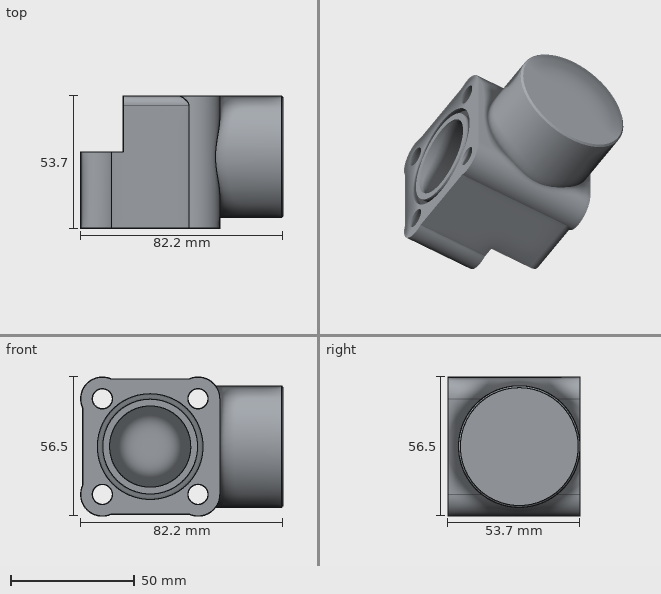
import cadquery as cq

depth = 53.7
flange_half = 28.24
outlet_end_x = 53.98

hole_offset = 19.4
lobe_radius = flange_half - hole_offset
hole_diameter = 8.05
body_half = 27.5
back_fillet = 3.95

step_y = 31.0
step_x = -11.0

bore_diameter = 33.0
bore_depth = 29.6
groove_inner_diameter = 38.5
groove_outer_diameter = 42.9
groove_depth = 2.4

spigot_diameter = 49.3
spigot_axis_y = depth - spigot_diameter / 2
spigot_chamfer = 0.7

hole_centres = [(x, z) for x in (-hole_offset, hole_offset) for z in (-hole_offset, hole_offset)]


def cylinder_y(diameter, length, x=0, z=0):
    """Cylinder running from the mounting face in the +Y direction."""
    base = cq.Vector(x, 0, z)
    return cq.Workplane(cq.Solid.makeCylinder(diameter / 2, length, base, cq.Vector(0, 1, 0)))


def box_between(low, high):
    """Box spanning two opposite corners."""
    size = [b - a for a, b in zip(low, high)]
    return cq.Workplane().box(*size, centered=False).translate(low)


def make_block():
    """Square block with rounded back edges, four corner lobes and a flat +X side."""
    block = box_between((-body_half, 0, -body_half), (body_half, depth, body_half))
    block = block.faces(">Y").edges("|X").fillet(back_fillet)
    side_low = (hole_offset, 0, -hole_offset)
    side_high = (flange_half, depth, hole_offset)
    block = block.union(box_between(side_low, side_high))

    for x, z in hole_centres:
        corner_x = flange_half if x > 0 else -flange_half
        corner_z = flange_half if z > 0 else -flange_half
        low = (min(x, corner_x), 0, min(z, corner_z))
        high = (max(x, corner_x), depth, max(z, corner_z))
        block = block.cut(box_between(low, high))
        block = block.union(cylinder_y(2 * lobe_radius, depth, x, z))
    return block


def make_step():
    """Space removed behind the two -X lobes."""
    low = (-flange_half, step_y, -flange_half)
    high = (step_x, depth, flange_half)
    return box_between(low, high)


def make_spigot():
    """Round outlet along +X with a chamfered end."""
    base = cq.Vector(0, spigot_axis_y, 0)
    spigot = cq.Solid.makeCylinder(spigot_diameter / 2, outlet_end_x, base, cq.Vector(1, 0, 0))
    return cq.Workplane(spigot).faces(">X").chamfer(spigot_chamfer)


def make_groove():
    """Annular seal groove around the bore."""
    outer = cylinder_y(groove_outer_diameter, groove_depth)
    return outer.cut(cylinder_y(groove_inner_diameter, groove_depth))


result = make_block().cut(make_step()).union(make_spigot())
result = result.cut(cylinder_y(bore_diameter, bore_depth)).cut(make_groove())
for hole_x, hole_z in hole_centres:
    result = result.cut(cylinder_y(hole_diameter, depth, hole_x, hole_z))